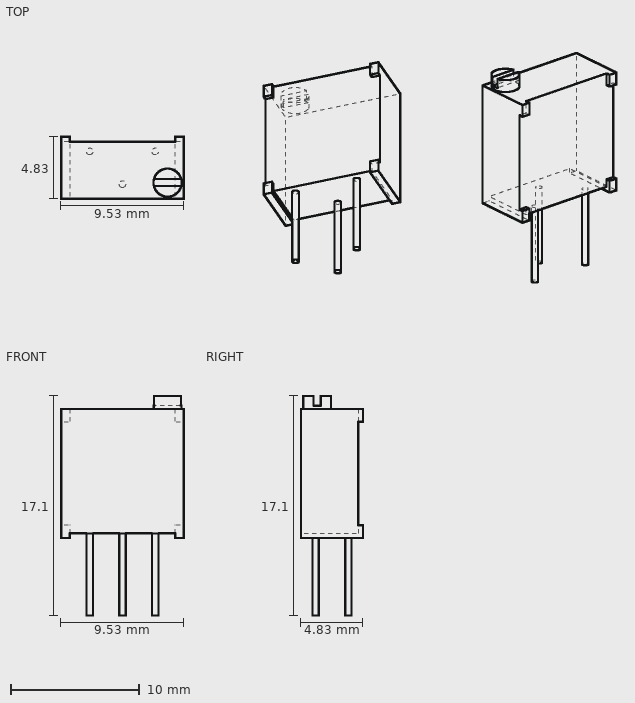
import cadquery as cq

housing_width = 9.53
housing_depth = 4.83
total_height = 17.07
screw_height = 1.0
foot_bottom = 6.03
housing_top = total_height - screw_height
housing_height = housing_top - foot_bottom

corner_width = 0.68
foot_height = 0.38
pad_thickness = 0.38
pad_height = 1.0
inner_width = housing_width - 2 * corner_width
pocket_height = housing_height - 2 * pad_height
back_face = housing_depth - pad_thickness

screw_diameter = 2.18
screw_x = 3.5
screw_y = 1.26
slot_width = 0.55
slot_depth = 0.75

pin_diameter = 0.51
pin_pitch = 2.55
front_pin_y = 1.15
back_pin_y = front_pin_y + pin_pitch
pin_length = foot_bottom + foot_height
pin_places = [(-pin_pitch, back_pin_y), (0, front_pin_y), (pin_pitch, back_pin_y)]


def box_from(width, depth, height, front, bottom):
    """Box centred on X that starts at the given front Y and bottom Z."""
    return (
        cq.Workplane("XY", origin=(0, front, bottom))
        .box(width, depth, height, centered=(True, False, False))
    )


def make_housing():
    """Block with a foot along each side and four pads on the back."""
    block = box_from(housing_width, housing_depth, housing_height, 0, foot_bottom)
    gap_between_feet = box_from(inner_width, housing_depth, foot_height, 0, foot_bottom)
    upright_recess = box_from(inner_width, pad_thickness, housing_height, back_face, foot_bottom)
    level_recess = box_from(
        housing_width, pad_thickness, pocket_height, back_face, foot_bottom + pad_height
    )
    return block.cut(gap_between_feet).cut(upright_recess).cut(level_recess)


def make_screw():
    """Round screw head on the housing, with a driver slot along X."""
    head = (
        cq.Workplane("XY", origin=(screw_x, screw_y, housing_top))
        .circle(screw_diameter / 2)
        .extrude(screw_height)
    )
    slot = (
        cq.Workplane("XY", origin=(screw_x, screw_y, total_height - slot_depth))
        .box(screw_diameter, slot_width, slot_depth, centered=(True, True, False))
    )
    return head.cut(slot)


def make_pin(x, y):
    """Straight round pin that ends against the underside of the housing."""
    return cq.Workplane("XY", origin=(x, y, 0)).circle(pin_diameter / 2).extrude(pin_length)


housing = make_housing()
screw = make_screw()
pins = [make_pin(x, y) for x, y in pin_places]

result = cq.Compound.makeCompound([housing.val(), screw.val(), *[pin.val() for pin in pins]])